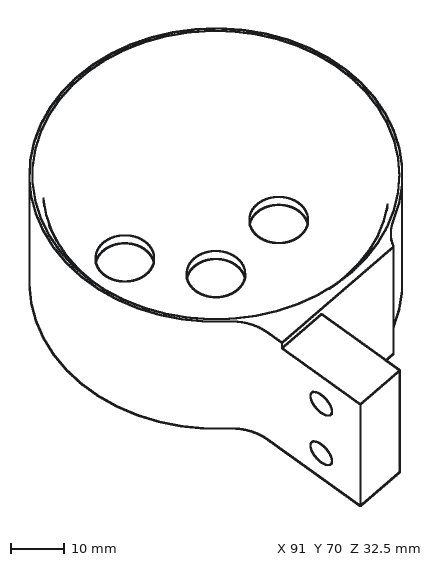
import cadquery as cq
import math

overall_length = 91.0
cup_height = 32.5
cup_diameter = 70.0
cup_radius = cup_diameter / 2
floor_thickness = 2.5
floor_bore_radius = 31.0
lip_bore_radius = 32.5
mouth_radius = 34.4
mouth_depth = 3.3
bore_round = 2.5

floor_hole_diameter = 11.0
floor_hole_count = 3
floor_hole_circle_radius = 17.5
first_floor_hole_angle = 90.0

plate_face_x = 36.1
plate_top_y = 9.8
blend_radius = 10.0

arm_end_x = overall_length - cup_radius
arm_low_y = -21.2
arm_thickness = 11.0
arm_height = 30.85
arm_hole_diameter = 5.5
arm_hole_spacing = 15.0
arm_hole_middle_z = 15.0


def point_on_cup(direction):
    """Point of the cup's outer circle in the direction of a given point."""
    scale = cup_radius / math.hypot(*direction)
    return (direction[0] * scale, direction[1] * scale)


def blend_midpoint(center, start, end):
    """Middle point of the blend arc between two of its points."""
    dx = (start[0] + end[0]) / 2 - center[0]
    dy = (start[1] + end[1]) / 2 - center[1]
    scale = blend_radius / math.hypot(dx, dy)
    return (center[0] + dx * scale, center[1] + dy * scale)


def make_plate():
    """Full-height plate whose two flanks run tangentially into the cup."""
    center_distance = cup_radius + blend_radius

    low_center_y = arm_low_y - blend_radius
    low_center = (math.sqrt(center_distance**2 - low_center_y**2), low_center_y)
    low_start = point_on_cup(low_center)
    low_end = (low_center[0], arm_low_y)

    corner = (plate_face_x, plate_top_y)
    corner_distance = math.hypot(*corner)
    angle_cosine = (center_distance**2 + corner_distance**2 - blend_radius**2) / (
        2 * center_distance * corner_distance
    )
    center_angle = math.atan2(plate_top_y, plate_face_x) + math.acos(angle_cosine)
    high_center = (
        center_distance * math.cos(center_angle),
        center_distance * math.sin(center_angle),
    )
    high_end = point_on_cup(high_center)

    return (
        cq.Workplane("XY")
        .moveTo(0, 0)
        .lineTo(*low_start)
        .threePointArc(blend_midpoint(low_center, low_start, low_end), low_end)
        .lineTo(plate_face_x, arm_low_y)
        .lineTo(*corner)
        .threePointArc(blend_midpoint(high_center, corner, high_end), high_end)
        .close()
        .extrude(cup_height)
    )


def make_arm():
    """Flat arm with two screw holes along Y, slightly lower than the cup."""
    arm_length = arm_end_x - plate_face_x
    arm = (
        cq.Workplane("XY", origin=(plate_face_x, arm_low_y, 0))
        .box(arm_length, arm_thickness, arm_height, centered=False)
    )
    hole_x = (plate_face_x + arm_end_x) / 2
    holes = (
        cq.Workplane("XZ", origin=(hole_x, arm_low_y, arm_hole_middle_z))
        .rarray(0.9, arm_hole_spacing, 1, 2)
        .circle(arm_hole_diameter / 2)
        .extrude(-arm_thickness)
    )
    return arm.cut(holes)


def make_bore():
    """Tapered inside of the cup with a rounded floor and a flared mouth."""
    lip_z = cup_height - mouth_depth
    bore = (
        cq.Workplane("XZ")
        .moveTo(0, floor_thickness)
        .lineTo(floor_bore_radius, floor_thickness)
        .lineTo(lip_bore_radius, lip_z)
        .lineTo(mouth_radius, cup_height)
        .lineTo(0, cup_height)
        .close()
        .revolve(360, (0, 0, 0), (0, 1, 0))
    )
    below_mouth = cq.selectors.BoxSelector(
        (-cup_radius, -cup_radius, 0),
        (cup_radius, cup_radius, (lip_z + cup_height) / 2),
        boundingbox=True,
    )
    return bore.edges("%CIRCLE").edges(below_mouth).fillet(bore_round)


def make_floor_holes():
    """Cutters for the central hole and the ring of holes around it."""
    radius = floor_hole_diameter / 2
    central_hole = cq.Workplane("XY").circle(radius).extrude(floor_thickness)
    outer_holes = (
        cq.Workplane("XY")
        .polarArray(floor_hole_circle_radius, first_floor_hole_angle, 360, floor_hole_count)
        .circle(radius)
        .extrude(floor_thickness)
    )
    return central_hole.union(outer_holes)


cup = cq.Workplane("XY").circle(cup_radius).extrude(cup_height)
result = cup.union(make_plate()).union(make_arm()).cut(make_bore()).cut(make_floor_holes())